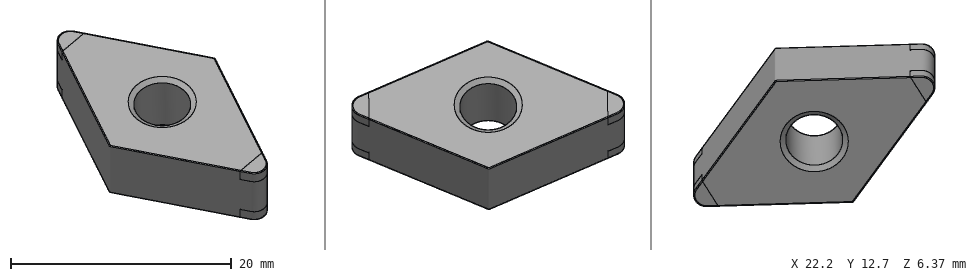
import cadquery as cq
import math

LENGTH = 22.2
WIDTH = 12.7
THICKNESS = 6.37
NOSE_ANGLE = 55.0

BLUNT_RADIUS = 0.18
LAND_WIDTH = 0.1
LAND_DROP = 0.05

HOLE_DIAMETER = 5.15
COUNTERSINK_DIAMETER = 6.17
COUNTERSINK_DEPTH = 0.3

TIP_DEPTH = 1.13
TIP_EDGE_LENGTH = 3.3

HALF_ANGLE = math.radians(NOSE_ANGLE / 2)
HALF_WIDTH = WIDTH / 2
ACUTE_X = HALF_WIDTH / math.tan(HALF_ANGLE)
BLUNT_X = HALF_WIDTH * math.tan(HALF_ANGLE)
NOSE_RADIUS = (ACUTE_X - LENGTH / 2) / (1 / math.tan(HALF_ANGLE) - 1)


def rhombus_blank():
    """Solid rhombic plate with rounded corners and a bevelled land on both rims."""
    corners = [
        (-ACUTE_X, -HALF_WIDTH),
        (BLUNT_X, -HALF_WIDTH),
        (ACUTE_X, HALF_WIDTH),
        (-BLUNT_X, HALF_WIDTH),
    ]
    plate = cq.Workplane("XY").polyline(corners).close().extrude(THICKNESS / 2 - LAND_DROP, both=True)
    plate = plate.edges("|Z").edges("<<X[-2] or >>X[-2]").fillet(BLUNT_RADIUS)
    plate = plate.edges("|Z").edges("<X or >X").fillet(NOSE_RADIUS)
    land_taper = math.degrees(math.atan2(LAND_WIDTH, LAND_DROP))
    for face in (">Z", "<Z"):
        plate = plate.faces(face).wires().toPending().workplane().extrude(LAND_DROP, taper=land_taper)
    return plate


def hole_cutter():
    """Through hole with a conical countersink at each face."""
    hole_radius = HOLE_DIAMETER / 2
    rim_radius = COUNTERSINK_DIAMETER / 2
    half = THICKNESS / 2
    cone_start = half - COUNTERSINK_DEPTH
    profile = [
        (0, -half),
        (rim_radius, -half),
        (hole_radius, -cone_start),
        (hole_radius, cone_start),
        (rim_radius, half),
        (0, half),
    ]
    return cq.Workplane("XZ").polyline(profile).close().revolve(360, (0, 0, 0), (0, 1, 0))


def tip_zone(side, face):
    """Triangular prism enclosing one tip; side picks the X end, face the +Z or -Z rim."""
    triangle = [
        (side * ACUTE_X, side * HALF_WIDTH),
        (side * (ACUTE_X - TIP_EDGE_LENGTH), side * HALF_WIDTH),
        (
            side * (ACUTE_X - TIP_EDGE_LENGTH * math.cos(2 * HALF_ANGLE)),
            side * (HALF_WIDTH - TIP_EDGE_LENGTH * math.sin(2 * HALF_ANGLE)),
        ),
    ]
    floor = face * (THICKNESS / 2 - TIP_DEPTH)
    return cq.Workplane("XY").workplane(offset=floor).polyline(triangle).close().extrude(face * TIP_DEPTH)


blank = rhombus_blank()
carrier = blank.cut(hole_cutter())
tips = []
for side in (-1, 1):
    for face in (-1, 1):
        zone = tip_zone(side, face)
        tips.append(blank.intersect(zone))
        carrier = carrier.cut(zone)

result = cq.Compound.makeCompound([carrier.solids().val(), *[tip.solids().val() for tip in tips]])